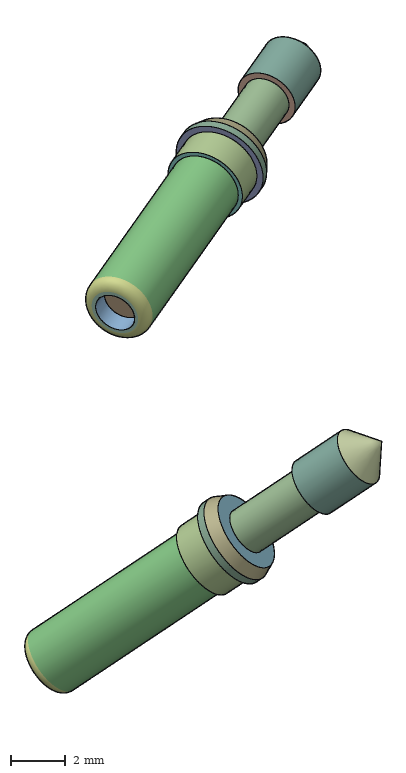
import cadquery as cq

tip_radius = 1.15
shaft_radius = 0.9
flange_radius = 1.75
flange_front_radius = 1.54
shoulder_radius = 1.5
barrel_radius = 1.34

total_length = 16.7
shoulder_start = 7.9
flange_start = 9.17
flange_taper_start = 9.49
flange_end = 9.99
head_start = 13.3
cone_start = total_length - tip_radius

rear_round = 0.4
bore_radius = 0.78
bore_depth = 0.77


def make_body():
    """Revolve the stepped half profile, with its pointed tip, about Y."""
    profile = (
        cq.Workplane("XY")
        .lineTo(barrel_radius, 0)
        .lineTo(barrel_radius, shoulder_start)
        .lineTo(shoulder_radius, shoulder_start)
        .lineTo(shoulder_radius, flange_start)
        .lineTo(flange_radius, flange_start)
        .lineTo(flange_radius, flange_taper_start)
        .lineTo(flange_front_radius, flange_end)
        .lineTo(shaft_radius, flange_end)
        .lineTo(shaft_radius, head_start)
        .lineTo(tip_radius, head_start)
        .lineTo(tip_radius, cone_start)
        .lineTo(0, total_length)
        .close()
    )
    return profile.revolve(360, (0, 0, 0), (0, 1, 0))


def make_bore():
    """Flat-bottomed blind bore entering the rear end."""
    return cq.Workplane("XZ").circle(bore_radius).extrude(-bore_depth)


body = make_body().faces("<Y").edges().fillet(rear_round)
result = body.cut(make_bore())